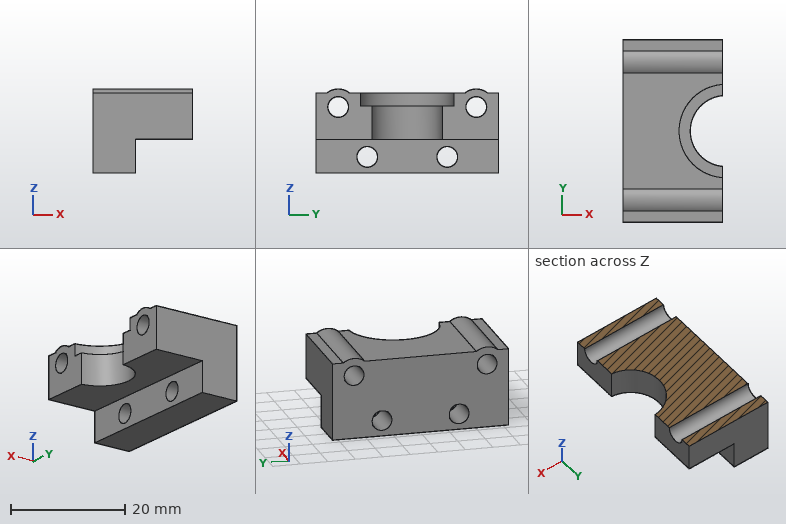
import cadquery as cq

length = 17.5
width = 32.0
block_top = 14.08
overhang_bottom = 5.92
foot_length = 7.52

hole_diameter = 3.6
upper_hole_offset = 12.1
upper_hole_height = 11.6
lower_hole_offset = 7.0
lower_hole_height = 2.85
overall_height = 14.75
ridge_radius = overall_height - upper_hole_height

bore_center_x = length + 0.55
bore_radius = 6.2
counterbore_radius = 8.2
counterbore_floor = 11.78


def cylinder_along_x(radius, y, z):
    return cq.Workplane("YZ").center(y, z).circle(radius).extrude(length)


def vertical_cylinder(radius, bottom, top):
    plane = cq.Workplane("XY").workplane(offset=bottom)
    return plane.center(bore_center_x, 0).circle(radius).extrude(top - bottom)


body = (
    cq.Workplane("XZ")
    .polyline([
        (0, 0),
        (foot_length, 0),
        (foot_length, overhang_bottom),
        (length, overhang_bottom),
        (length, block_top),
        (0, block_top),
    ])
    .close()
    .extrude(width / 2, both=True)
)

for side in (-1, 1):
    body = body.union(cylinder_along_x(ridge_radius, side * upper_hole_offset, upper_hole_height))

for side in (-1, 1):
    body = body.cut(cylinder_along_x(hole_diameter / 2, side * upper_hole_offset, upper_hole_height))
    body = body.cut(cylinder_along_x(hole_diameter / 2, side * lower_hole_offset, lower_hole_height))

body = body.cut(vertical_cylinder(bore_radius, 0, overall_height))
body = body.cut(vertical_cylinder(counterbore_radius, counterbore_floor, overall_height))

result = body